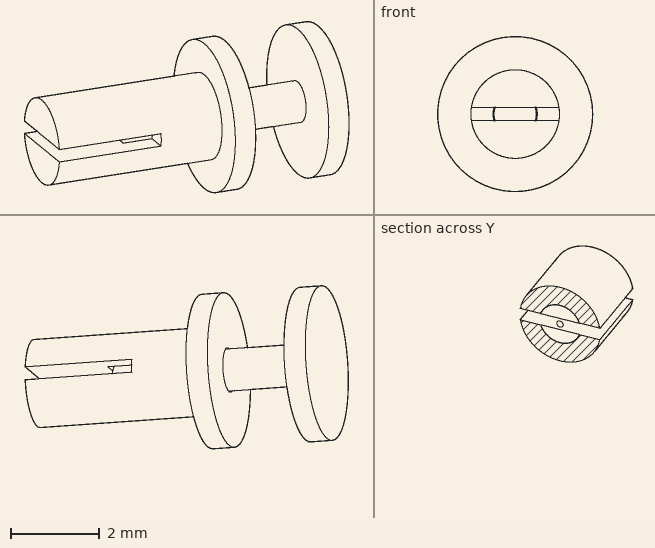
import cadquery as cq

total_length = 6.8
disc_diameter = 3.5
disc_thickness = 0.5
pin_diameter = 0.95
bore_diameter = 1.0
barrel_diameter = 2.0
barrel_length = 4.0
slot_height = 0.3
slot_depth = 2.5
shank_length = 4.5
tip_radius = 0.4

flange_front = barrel_length
flange_back = flange_front + disc_thickness
pin_head_front = total_length - disc_thickness
pin_tip = pin_head_front - shank_length
bore_depth = flange_back - pin_tip


def cylinder(diameter, start, length):
    """Cylinder on the Y axis, running from start toward +Y."""
    section = cq.Workplane("XZ", origin=(0, start, 0)).circle(diameter / 2)
    return section.extrude(-length)


def make_sleeve():
    """Flanged barrel with a blind bore from the flange and a slot across its free end."""
    barrel = cylinder(barrel_diameter, 0, barrel_length)
    flange = cylinder(disc_diameter, flange_front, disc_thickness)
    bore = cylinder(bore_diameter, pin_tip, bore_depth)
    slot = cq.Workplane("XY").box(
        barrel_diameter, slot_depth, slot_height, centered=(True, False, True)
    )
    return barrel.union(flange).cut(bore).cut(slot)


def make_pin():
    """Disc-headed pin with a rounded tip that ends in a small flat."""
    shank = cylinder(pin_diameter, pin_tip, shank_length).faces("<Y").edges().fillet(tip_radius)
    head = cylinder(disc_diameter, pin_head_front, disc_thickness)
    return shank.union(head)


sleeve = make_sleeve()
pin = make_pin()
result = cq.Compound.makeCompound([sleeve.val(), pin.val()])